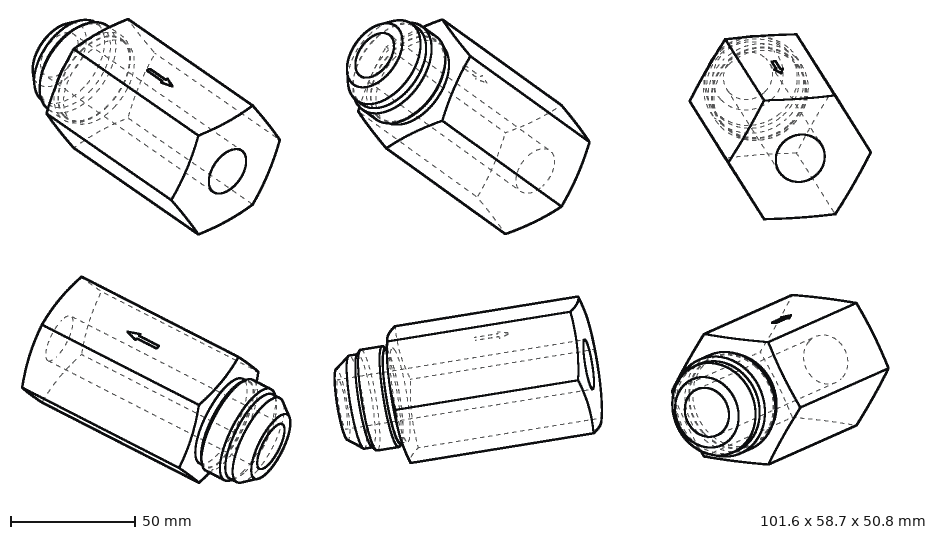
import cadquery as cq
import math

total_length = 101.6
bore_diameter = 20.2

hex_across_flats = 50.8
hex_start = 23.9
hex_length = total_length - hex_start
hex_across_corners = hex_across_flats / math.cos(math.radians(30))
hex_chamfer_angle = 16.0

tip_diameter = 29.1
seat_diameter = 38.1
thread_diameter = 41.2
neck_diameter = 38.3
run_out_diameter = 39.0
seat_cone_length = 6.0
thread_start = 9.5
thread_end = 20.9
lead_in_length = 1.5
run_out_length = 1.0

arrow_start = 55.1
arrow_length = 14.6
arrow_head_length = 5.1
arrow_shaft_width = 1.6
arrow_head_width = 3.6
arrow_center_y = -1.1
arrow_depth = 0.1


def revolve_about_x(points):
    """Solid of revolution from (x, radius) points, closed along the X axis."""
    return cq.Workplane("XY").polyline(points).close().revolve(360, (0, 0, 0), (1, 0, 0))


def make_nose():
    tip_radius = tip_diameter / 2
    seat_radius = seat_diameter / 2
    thread_radius = thread_diameter / 2
    run_out_radius = run_out_diameter / 2
    neck_radius = neck_diameter / 2
    return revolve_about_x([
        (0, 0),
        (0, tip_radius),
        (seat_cone_length, seat_radius),
        (thread_start, seat_radius),
        (thread_start + lead_in_length, thread_radius),
        (thread_end - run_out_length, thread_radius),
        (thread_end, run_out_radius),
        (thread_end, neck_radius),
        (hex_start, neck_radius),
        (hex_start, 0),
    ])


def make_hex_body():
    prism = (
        cq.Workplane("YZ", origin=(hex_start, 0, 0))
        .polygon(6, hex_across_corners)
        .extrude(hex_length)
    )
    flat_radius = hex_across_flats / 2
    corner_radius = hex_across_corners / 2
    chamfer_length = (corner_radius - flat_radius) * math.tan(math.radians(hex_chamfer_angle))
    envelope = revolve_about_x([
        (hex_start, 0),
        (hex_start, flat_radius),
        (hex_start + chamfer_length, corner_radius),
        (total_length - chamfer_length, corner_radius),
        (total_length, flat_radius),
        (total_length, 0),
    ])
    return prism.intersect(envelope)


def make_arrow():
    arrow_tip = arrow_start + arrow_length
    head_start = arrow_tip - arrow_head_length
    half_shaft = arrow_shaft_width / 2
    half_head = arrow_head_width / 2
    return (
        cq.Workplane("XY", origin=(0, arrow_center_y, hex_across_flats / 2))
        .polyline([
            (arrow_start, -half_shaft),
            (head_start, -half_shaft),
            (head_start, -half_head),
            (arrow_tip, 0),
            (head_start, half_head),
            (head_start, half_shaft),
            (arrow_start, half_shaft),
        ])
        .close()
        .extrude(-arrow_depth)
    )


bore = cq.Workplane("YZ").circle(bore_diameter / 2).extrude(total_length)

result = make_nose().union(make_hex_body()).cut(bore).cut(make_arrow())